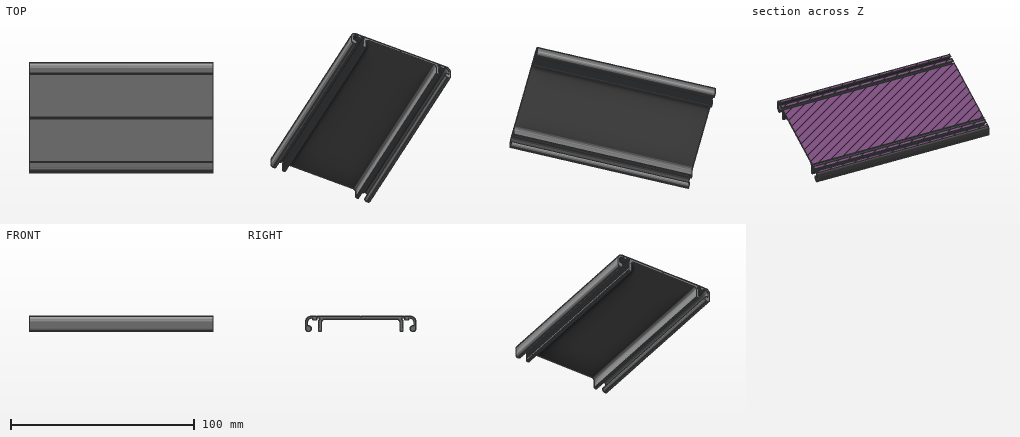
import cadquery as cq
import math

length = 100.0
width = 60.0
height = 8.4

plate_thickness = 1.7
skin = 1.1
edge_radius = 3.0
inner_radius = 2.3
half_width = width / 2
diagonal = math.sqrt(0.5)

bead_radius = 1.6
bead_y = half_width - bead_radius
bead_z = bead_radius - height
bead_fillet = 0.3

leg_outer = 23.0
leg_thickness = 1.7
leg_inner = leg_outer - leg_thickness
leg_root = 22.4
undercut_depth = 1.8
undercut_end = 2.5
leg_inside_fillet = 1.8
leg_tip_chamfer = 0.4
notch_count = 3
notch_pitch = 1.2
notch_depth = 0.2
notch_width = 0.6
notch_floor = 0.3
first_notch_z = -3.7

pad_center = 25.0
pad_width = 2.3
pad_bottom = -2.1
pad_chamfer = 0.3

side_groove_y = 24.0
side_groove_width = 0.7
center_groove_width = 1.0
groove_depth = 0.3


def extrude(sketch):
    """Run a closed outline along the full length, centered on X = 0."""
    return sketch.extrude(length / 2, both=True)


def outline(y, z):
    """Start a cross-section outline at the given point."""
    return cq.Workplane("YZ").moveTo(y, z)


def plate():
    """Half of the flat plate, from the center line to the leg."""
    return extrude(
        outline(0, 0)
        .lineTo(leg_root, 0)
        .lineTo(leg_root, -plate_thickness)
        .lineTo(0, -plate_thickness)
        .close()
    )


def rolled_edge():
    """Thin skin that turns down into the outer wall."""
    arc_y = half_width - edge_radius
    inner_arc_y = half_width - skin - inner_radius
    inner_arc_z = -skin - inner_radius
    return extrude(
        outline(leg_root, 0)
        .lineTo(arc_y, 0)
        .threePointArc(
            (arc_y + edge_radius * diagonal, edge_radius * (diagonal - 1)), (half_width, -edge_radius)
        )
        .lineTo(half_width, bead_z)
        .lineTo(half_width - skin, bead_z)
        .lineTo(half_width - skin, inner_arc_z)
        .threePointArc(
            (inner_arc_y + inner_radius * diagonal, inner_arc_z + inner_radius * diagonal),
            (inner_arc_y, -skin),
        )
        .lineTo(leg_root, -skin)
        .close()
    )


def bead():
    """Round bead, blended into the inner face of the outer wall."""
    round_bar = extrude(outline(bead_y, bead_z).circle(bead_radius))
    blend_y = half_width - skin - bead_fillet
    reach = bead_radius + bead_fillet
    blend_z = bead_z + math.sqrt(reach**2 - (blend_y - bead_y) ** 2)
    touch = bead_radius / reach
    touch_y = bead_y + (blend_y - bead_y) * touch
    touch_z = bead_z + (blend_z - bead_z) * touch
    start = math.atan2(touch_z - blend_z, touch_y - blend_y)
    middle = start / 2
    web = extrude(
        outline(touch_y, touch_z)
        .threePointArc(
            (blend_y + bead_fillet * math.cos(middle), blend_z + bead_fillet * math.sin(middle)),
            (half_width - skin, blend_z),
        )
        .lineTo(half_width - skin / 2, blend_z)
        .lineTo(half_width - skin / 2, bead_z)
        .lineTo(touch_y, bead_z)
        .close()
    )
    return round_bar.union(web)


def leg():
    """Hanging leg with an inside fillet, an undercut root and flat-bottomed notches on its outer face."""
    fillet_y = leg_inner - leg_inside_fillet
    fillet_z = -plate_thickness - leg_inside_fillet
    fillet_offset = leg_inside_fillet * diagonal
    profile = (
        outline(fillet_y, -skin)
        .lineTo(leg_root, -skin)
        .lineTo(leg_root, -undercut_depth)
        .lineTo(leg_outer, -undercut_end)
    )
    for index in range(notch_count):
        z = first_notch_z - index * notch_pitch
        profile = (
            profile.lineTo(leg_outer, z + notch_width / 2)
            .lineTo(leg_outer - notch_depth, z + notch_floor / 2)
            .lineTo(leg_outer - notch_depth, z - notch_floor / 2)
            .lineTo(leg_outer, z - notch_width / 2)
        )
    profile = (
        profile.lineTo(leg_outer, leg_tip_chamfer - height)
        .lineTo(leg_outer - leg_tip_chamfer, -height)
        .lineTo(leg_inner + leg_tip_chamfer, -height)
        .lineTo(leg_inner, leg_tip_chamfer - height)
        .lineTo(leg_inner, fillet_z)
        .threePointArc((fillet_y + fillet_offset, fillet_z + fillet_offset), (fillet_y, -plate_thickness))
        .close()
    )
    return extrude(profile)


def pad():
    """Thicker strip under the side groove, chamfered at its lower corners."""
    left = pad_center - pad_width / 2
    right = pad_center + pad_width / 2
    return extrude(
        outline(left, -skin / 2)
        .lineTo(right, -skin / 2)
        .lineTo(right, pad_bottom + pad_chamfer)
        .lineTo(right - pad_chamfer, pad_bottom)
        .lineTo(left + pad_chamfer, pad_bottom)
        .lineTo(left, pad_bottom + pad_chamfer)
        .close()
    )


def groove(y, groove_width):
    """Shallow groove in the top face, with sloped sides and a flat floor."""
    half_top = groove_width / 2
    half_floor = half_top / 2
    return extrude(
        outline(y - half_top, 0)
        .lineTo(y + half_top, 0)
        .lineTo(y + half_floor, -groove_depth)
        .lineTo(y - half_floor, -groove_depth)
        .close()
    )


half = plate().union(rolled_edge()).union(bead()).union(leg()).union(pad())
result = half.union(half.mirror("XZ"))
for y, groove_width in (
    (-side_groove_y, side_groove_width),
    (0, center_groove_width),
    (side_groove_y, side_groove_width),
):
    result = result.cut(groove(y, groove_width))